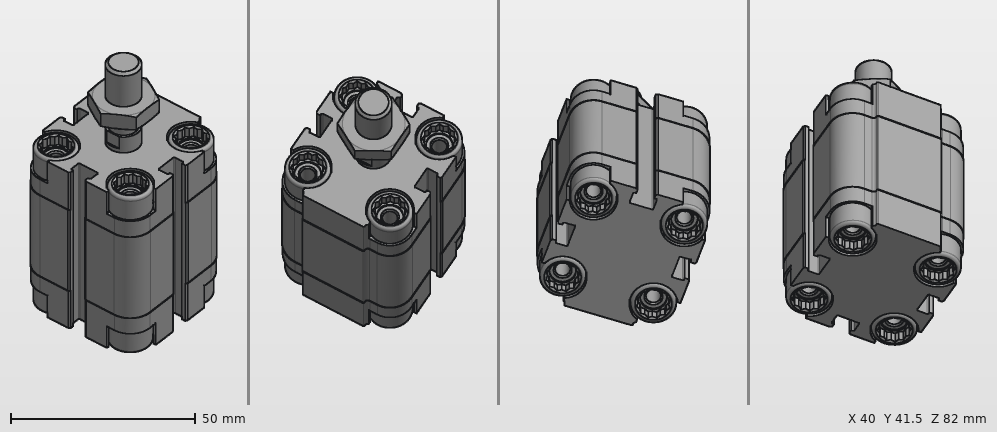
import cadquery as cq
import math

BODY_HEIGHT = 54.4
CAP_HEIGHT = 13.0
CORNER_POCKET_DEPTH = 7.55
ROD_TOP = 82.0

BARREL_HALF_WIDTH = 20.0
BARREL_CORNER_RADIUS = 7.0
LUG_TOP = 21.5
LUG_WIDTH = 19.5
LUG_BASE_FILLET = 1.0
LUG_EDGE_FILLET = 0.25
CAP_INSET = 0.2
CAP_LUG_INSET = 0.25

SLOT_DEPTH = 5.1
SLOT_LIP = 1.6
SLOT_OPENING = 5.2
SLOT_WIDTH = 6.8
SLOT_LIP_CHAMFER_WIDTH = 0.6
SLOT_LIP_CHAMFER_DEPTH = 0.3
SLOT_CORNER_FILLET = 0.3

BOSS_SPACING = 26.0
BOSS_DIAMETER = 12.5
BOSS_FILLET = 1.0
BOSS_CLEARANCE = 0.3
POCKET_START = 10.4
SOCKET_MOUTH_DIAMETER = 10.0
SOCKET_CONE_DEPTH = 0.4
SOCKET_POINTS = 12
SOCKET_POINT_DIAMETER = 9.2
SOCKET_NOTCH_DIAMETER = 8.3
SOCKET_DEPTH = 3.4
SEAT_DIAMETER = 7.2
SEAT_DEPTH = 0.6
DRILL_MOUTH_DIAMETER = 5.0
DRILL_DIAMETER = 4.1

ROD_DIAMETER = 10.0
ROD_TIP_CHAMFER_WIDTH = 0.9
ROD_TIP_CHAMFER_HEIGHT = 0.8
SHOULDER_TOP = 59.9
THREAD_START = 61.9
THREAD_LEAD_IN = 0.7
NECK_DIAMETER = 8.45
FLATS_BOTTOM = 55.8
FLATS_SPAN = 9.0

NUT_BOTTOM = 65.4
NUT_HEIGHT = 5.0
NUT_SPAN = 17.0
NUT_CHAMFER_ANGLE = 14.0

boss_centres = [
    (sx * BOSS_SPACING / 2, sy * BOSS_SPACING / 2) for sx in (-1, 1) for sy in (-1, 1)
]


def slab(inset, lug_inset, bottom, height):
    """Rounded square slab with the raised lug along its +Y side."""
    half = BARREL_HALF_WIDTH - inset
    block = (
        cq.Workplane("XY")
        .workplane(offset=bottom)
        .rect(2 * half, 2 * half)
        .extrude(height)
        .edges("|Z")
        .fillet(BARREL_CORNER_RADIUS - inset)
    )
    lug_top = LUG_TOP - lug_inset
    half_lug_width = LUG_WIDTH / 2
    half_lug = (
        cq.Workplane("XY")
        .workplane(offset=bottom)
        .lineTo(0, lug_top)
        .lineTo(half_lug_width - LUG_EDGE_FILLET, lug_top)
        .radiusArc((half_lug_width, lug_top - LUG_EDGE_FILLET), LUG_EDGE_FILLET)
        .lineTo(half_lug_width, half + LUG_BASE_FILLET)
        .radiusArc((half_lug_width + LUG_BASE_FILLET, half), -LUG_BASE_FILLET)
        .lineTo(half_lug_width, 0)
        .close()
        .extrude(height)
    )
    return block.union(half_lug).union(half_lug.mirror("YZ"))


def slot_cutter(face, bottom, height):
    """T-slot cutter opening through the -Y side, whose face lies at the given distance."""
    mouth = SLOT_OPENING / 2
    wide = SLOT_WIDTH / 2
    lip = BARREL_HALF_WIDTH - SLOT_LIP
    floor = BARREL_HALF_WIDTH - SLOT_DEPTH
    half_slot = (
        cq.Workplane("XY")
        .workplane(offset=bottom)
        .moveTo(0, -face)
        .lineTo(mouth + SLOT_LIP_CHAMFER_WIDTH, -face)
        .lineTo(mouth, -face + SLOT_LIP_CHAMFER_DEPTH)
        .lineTo(mouth, -lip)
        .lineTo(wide - SLOT_CORNER_FILLET, -lip)
        .radiusArc((wide, -lip + SLOT_CORNER_FILLET), -SLOT_CORNER_FILLET)
        .lineTo(wide, -floor - SLOT_CORNER_FILLET)
        .radiusArc((wide - SLOT_CORNER_FILLET, -floor), -SLOT_CORNER_FILLET)
        .lineTo(0, -floor)
        .close()
        .extrude(height)
    )
    return half_slot.union(half_slot.mirror("YZ"))


def cut_slots(body, face, bottom, height):
    """Cut one T-slot in the -Y side and one in each X side."""
    cutter = slot_cutter(face, bottom, height)
    for angle in (-90, 0, 90):
        body = body.cut(cutter.rotate((0, 0, 0), (0, 0, 1), angle))
    return body


def disc(diameter, top, depth):
    """Cylinder on the Z axis reaching down from its top face."""
    return cq.Workplane("XY").workplane(offset=top - depth).circle(diameter / 2).extrude(depth)


def cone(top_diameter, bottom_diameter, top, depth):
    """Truncated cone on the Z axis reaching down from its top face."""
    solid = cq.Solid.makeCone(bottom_diameter / 2, top_diameter / 2, depth, cq.Vector(0, 0, top - depth))
    return cq.Workplane(solid)


def socket_cutter():
    """Twelve-point socket with a conical mouth and a stepped seat, opening at the cap's top."""
    star = []
    for i in range(2 * SOCKET_POINTS):
        diameter = SOCKET_POINT_DIAMETER if i % 2 == 0 else SOCKET_NOTCH_DIAMETER
        angle = math.pi * i / SOCKET_POINTS
        star.append((diameter / 2 * math.cos(angle), diameter / 2 * math.sin(angle)))
    socket_floor = BODY_HEIGHT - SOCKET_DEPTH
    seat_floor = socket_floor - SEAT_DEPTH
    drill_cone_depth = (DRILL_MOUTH_DIAMETER - DRILL_DIAMETER) / 2
    cutter = (
        cq.Workplane("XY")
        .workplane(offset=socket_floor)
        .polyline(star)
        .close()
        .extrude(SOCKET_DEPTH)
    )
    mouth = cone(SOCKET_MOUTH_DIAMETER, SOCKET_NOTCH_DIAMETER, BODY_HEIGHT, SOCKET_CONE_DEPTH)
    seat = disc(SEAT_DIAMETER, socket_floor, SEAT_DEPTH)
    drill = cone(DRILL_MOUTH_DIAMETER, DRILL_DIAMETER, seat_floor, drill_cone_depth)
    return cutter.union(mouth).union(seat).union(drill)


def drill_holes(body):
    """Run the four bolt holes through the whole housing height."""
    holes = cq.Workplane("XY").pushPoints(boss_centres).circle(DRILL_DIAMETER / 2).extrude(BODY_HEIGHT)
    return body.cut(holes)


def make_barrel():
    """Middle stretch of the housing, slightly larger in outline than its two ends."""
    height = BODY_HEIGHT - 2 * CAP_HEIGHT
    barrel = slab(0, 0, CAP_HEIGHT, height)
    return cut_slots(drill_holes(barrel), BARREL_HALF_WIDTH, CAP_HEIGHT, height)


def make_front_cap():
    """Front end of the housing: slab with a pocketed boss and a socket in each corner."""
    bottom = BODY_HEIGHT - CAP_HEIGHT
    cap = slab(CAP_INSET, CAP_LUG_INSET, bottom, CAP_HEIGHT)
    cap = cut_slots(cap, BARREL_HALF_WIDTH - CAP_INSET, bottom, CAP_HEIGHT)

    pocket_size = BARREL_HALF_WIDTH - POCKET_START
    pocket_centre = POCKET_START + pocket_size / 2
    boss = disc(BOSS_DIAMETER, BODY_HEIGHT, CORNER_POCKET_DEPTH).faces(">Z").edges().fillet(BOSS_FILLET)
    socket = socket_cutter()
    ring = disc(BOSS_DIAMETER + 2 * BOSS_CLEARANCE, BODY_HEIGHT, CORNER_POCKET_DEPTH)
    for x, y in boss_centres:
        corner = (
            cq.Workplane("XY")
            .workplane(offset=BODY_HEIGHT - CORNER_POCKET_DEPTH)
            .center(math.copysign(pocket_centre, x), math.copysign(pocket_centre, y))
            .rect(pocket_size, pocket_size)
            .extrude(CORNER_POCKET_DEPTH)
        )
        place = cq.Vector(x, y, 0)
        cap = cap.cut(corner).cut(ring.translate(place))
        cap = cap.union(boss.translate(place)).cut(socket.translate(place))
    return drill_holes(cap)


def make_rod():
    """Piston rod with wrench flats below an undercut and a chamfered stud end."""
    radius = ROD_DIAMETER / 2
    neck = NECK_DIAMETER / 2
    rod_bottom = BODY_HEIGHT - CAP_HEIGHT
    rod = (
        cq.Workplane("XZ")
        .moveTo(0, rod_bottom)
        .lineTo(radius, rod_bottom)
        .lineTo(radius, SHOULDER_TOP)
        .lineTo(neck, SHOULDER_TOP)
        .lineTo(neck, THREAD_START)
        .lineTo(radius, THREAD_START + THREAD_LEAD_IN)
        .lineTo(radius, ROD_TOP - ROD_TIP_CHAMFER_HEIGHT)
        .lineTo(radius - ROD_TIP_CHAMFER_WIDTH, ROD_TOP)
        .lineTo(0, ROD_TOP)
        .close()
        .revolve(360, (0, 0, 0), (0, 1, 0))
    )
    for side in (-1, 1):
        flat = (
            cq.Workplane("XY")
            .workplane(offset=FLATS_BOTTOM)
            .center(0, side * FLATS_SPAN)
            .rect(ROD_DIAMETER, FLATS_SPAN)
            .extrude(SHOULDER_TOP - FLATS_BOTTOM)
        )
        rod = rod.cut(flat)
    return rod


def make_nut():
    """Hexagonal lock nut with a corner on +Y and its corners bevelled at both ends."""
    sides = 6
    corner_diameter = NUT_SPAN / math.cos(math.pi / sides)
    nut = (
        cq.Workplane("XY")
        .workplane(offset=NUT_BOTTOM)
        .polygon(sides, corner_diameter)
        .extrude(NUT_HEIGHT)
        .rotate((0, 0, 0), (0, 0, 1), 180 / sides)
    )
    reach = corner_diameter / 2
    drop = (reach - NUT_SPAN / 2) * math.tan(math.radians(NUT_CHAMFER_ANGLE))
    top = NUT_BOTTOM + NUT_HEIGHT
    envelope = (
        cq.Workplane("XZ")
        .polyline([
            (0, NUT_BOTTOM),
            (NUT_SPAN / 2, NUT_BOTTOM),
            (reach, NUT_BOTTOM + drop),
            (reach, top - drop),
            (NUT_SPAN / 2, top),
            (0, top),
        ])
        .close()
        .revolve(360, (0, 0, 0), (0, 1, 0))
    )
    bore = disc(ROD_DIAMETER, top, NUT_HEIGHT)
    return nut.intersect(envelope).cut(bore)


def make_housing(rod):
    """Barrel and two mirrored ends as one body, with a blind hole that the rod fills."""
    front_cap = make_front_cap()
    rear_cap = front_cap.mirror("XY", (0, 0, BODY_HEIGHT / 2))
    return make_barrel().union(front_cap.cut(rod)).union(rear_cap)


rod = make_rod()
housing = make_housing(rod)
nut = make_nut()

result = cq.Compound.makeCompound([housing.val(), rod.val(), nut.val()])